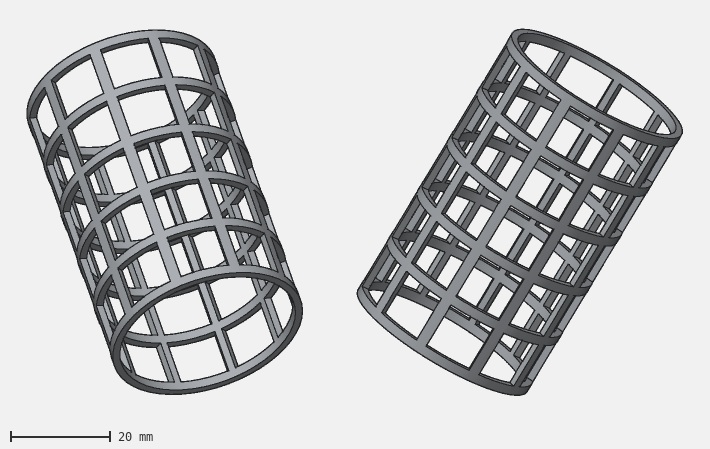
import cadquery as cq

length = 62.0
outer_diameter = 39.75
wall = 1.5
inner_diameter = outer_diameter - 2 * wall

windows_along = 5
windows_around = 10
window_size = 10.0

ring_count = windows_along + 1
ring_width = (length - windows_along * window_size) / ring_count
window_pitch = window_size + ring_width
angle_step = 360 / windows_around


def tube():
    """Plain tube centred on the origin."""
    return (
        cq.Workplane("YZ")
        .circle(outer_diameter / 2)
        .circle(inner_diameter / 2)
        .extrude(length / 2, both=True)
    )


def window_row():
    """One row of straight-sided blocks reaching from the axis out through the +Z side."""
    return (
        cq.Workplane("XY")
        .rarray(window_pitch, window_size, windows_along, 1)
        .rect(window_size, window_size)
        .extrude(outer_diameter)
    )


result = tube()
for column in range(windows_around):
    angle = column * angle_step
    result = result.cut(window_row().rotate((0, 0, 0), (1, 0, 0), angle))